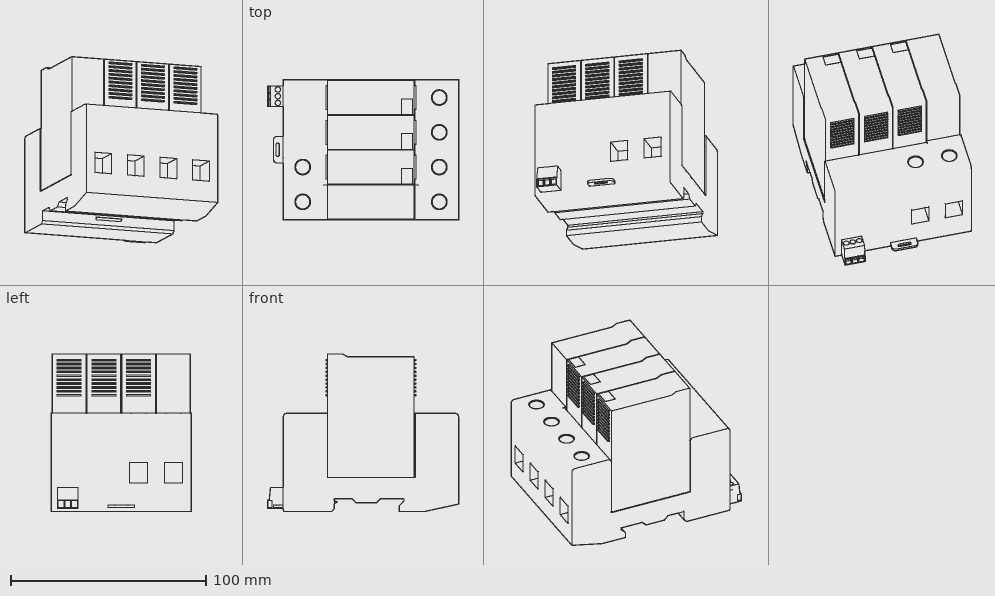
import cadquery as cq


base_length = 90.0
base_width = 72.0
base_height = 50.4
overall_height = 80.9
connector_reach = 7.9

module_count = 4
ribbed_modules = 3
module_pitch = 17.8
module_gap = 0.4

base_top_fillet = 1.9
base_foot_fillet = 0.9
ramp_length = 17.3
ramp_height = 3.8
rail_left = 26.25
rail_foot_chamfer = 1.5
rail_depth = 6.6
rail_pad_start = 35.3
rail_pad_end = 50.0
rail_pad_depth = 2.2
rail_hook_lip = 59.5
rail_hook_end = 61.9
rail_hook_lip_height = 2.9
rail_hook_wall = 1.1

bay_left = 22.6
bay_right = 67.6
bay_floor = 17.5
bay_edge_radius = 1.9

module_right = bay_right - module_gap
module_step_drop = 1.5
module_step_start = 30.4
module_step_end = 33.0
step_crest_radius = 0.6
step_root_radius = 1.4
module_edge_radius = 0.3
row_width = module_count * module_pitch
button_length = 5.7
button_width = 8.0
button_inset = 1.0
button_recess = 0.1

rib_count = 10
rib_span = 18.0
rib_root_height = 0.9
rib_tip_height = 0.6
rib_reach = 0.8
rib_width = 12.2
top_rib_height = 77.7

left_terminals = 2
right_terminals = 4
screw_inset = 10.0
screw_radius = 3.6
screw_rim = 0.4
screw_depth = 11.8
entry_width = 9.1
entry_height = 10.6
entry_bottom = 14.6
entry_depth = 13.7

connector_width = 10.7
connector_y = 27.4
connector_bottom = 1.5
connector_top = 12.4
connector_step_height = 5.9
connector_step_x = -7.2
connector_top_x = -6.6
connector_pitch = 3.4
connector_poles = 3
pole_radius = 1.4
pole_x = -2.7
pole_depth = 2.9
socket_width = 2.9
socket_height = 3.5
socket_bottom = 2.1
socket_depth = 2.1

latch_width = 13.7
latch_reach = 5.1
latch_bottom = 2.1
latch_thickness = 1.3
latch_corner_radius = 2.0
latch_root = 1.0
latch_slot_length = 6.9
latch_slot_width = 1.6
latch_slot_x = -2.8
latch_nose_top = 5.5
latch_nose_tip = 5.0
latch_nose_bottom = 4.0
latch_nose_reach = 1.6


def box_between(x_range, y_range, z_range):
    """Axis-aligned box from three (low, high) pairs."""
    lows, highs = zip(x_range, y_range, z_range)
    sizes = [high - low for low, high in zip(lows, highs)]
    return cq.Workplane("XY").box(*sizes, centered=False).translate(lows)


def extrude_along_y(points, y_range):
    """Prism of an XZ outline between two Y positions."""
    low, high = y_range
    return cq.Workplane("XZ", origin=(0, high, 0)).polyline(points).close().extrude(high - low)


def centred_range(centre, width):
    return (centre - width / 2, centre + width / 2)


def module_y(index):
    """Y of the middle of a module, counted from the +Y side."""
    return row_width / 2 - (index + 0.5) * module_pitch


def edge_along_y(x, z):
    """Selector for the straight Y edges that pass through (x, z)."""
    reach = 0.05
    return cq.selectors.BoxSelector(
        (x - reach, -base_width, z - reach), (x + reach, base_width, z + reach), boundingbox=False
    )


def make_base():
    rail_pad_bottom = rail_depth - rail_pad_depth
    outline = [
        (0, 0),
        (rail_left - rail_foot_chamfer, 0),
        (rail_left, rail_foot_chamfer),
        (rail_left, rail_depth),
        (rail_pad_start, rail_depth),
        (rail_pad_start + rail_pad_depth, rail_pad_bottom),
        (rail_pad_end - rail_pad_depth, rail_pad_bottom),
        (rail_pad_end, rail_depth),
        (rail_hook_end, rail_depth),
        (rail_hook_end, rail_depth - rail_hook_wall),
        (rail_hook_lip, rail_hook_lip_height),
        (rail_hook_lip, 0),
        (base_length - ramp_length, 0),
        (base_length, ramp_height),
        (base_length, base_height),
        (0, base_height),
    ]
    base = extrude_along_y(outline, centred_range(0, base_width))
    base = base.edges(edge_along_y(0, base_height)).fillet(base_top_fillet)
    base = base.edges(edge_along_y(base_length, base_height)).fillet(base_top_fillet)
    return base.edges(edge_along_y(0, 0)).fillet(base_foot_fillet)


def make_bay():
    """Volume of the module bay; its mouth is rounded beside the plug-in modules."""
    bay = box_between((bay_left, bay_right), (-base_width, base_width), (bay_floor, overall_height))
    mouth_end = module_y(ribbed_modules) + module_pitch / 2 - module_gap / 2
    mouth = box_between(
        (bay_left - bay_edge_radius, bay_right + bay_edge_radius),
        (mouth_end, base_width),
        (base_height - bay_edge_radius, base_height),
    )
    for x in (bay_left - bay_edge_radius, bay_right + bay_edge_radius):
        rounding = (
            cq.Workplane("XZ", origin=(x, base_width, base_height - bay_edge_radius))
            .circle(bay_edge_radius)
            .extrude(base_width - mouth_end)
        )
        mouth = mouth.cut(rounding)
    return bay.union(mouth)


def make_module(index):
    low_top = overall_height - module_step_drop
    outline = [
        (bay_left, bay_floor),
        (module_right, bay_floor),
        (module_right, low_top),
        (module_step_end, low_top),
        (module_step_start, overall_height),
        (bay_left, overall_height),
    ]
    module = extrude_along_y(outline, centred_range(module_y(index), module_pitch - module_gap))
    module = module.edges(edge_along_y(module_step_end, low_top)).fillet(step_root_radius)
    module = module.edges(edge_along_y(module_step_start, overall_height)).fillet(step_crest_radius)
    return module.edges(edge_along_y(bay_left, overall_height)).fillet(module_edge_radius)


def add_ribs(module, index):
    """Tapered ribs on both end faces; each pair is one bar through the module."""
    for row in range(rib_count):
        z = top_rib_height - row * rib_span / (rib_count - 1)
        outline = [
            (bay_left - rib_reach, z - rib_tip_height / 2),
            (bay_left, z - rib_root_height / 2),
            (module_right, z - rib_root_height / 2),
            (module_right + rib_reach, z - rib_tip_height / 2),
            (module_right + rib_reach, z + rib_tip_height / 2),
            (module_right, z + rib_root_height / 2),
            (bay_left, z + rib_root_height / 2),
            (bay_left - rib_reach, z + rib_tip_height / 2),
        ]
        rib = extrude_along_y(outline, centred_range(module_y(index), rib_width))
        module = module.union(rib)
    return module


def recess_button(module, index):
    low_top = overall_height - module_step_drop
    button_end = module_right - button_inset
    button_side = module_y(index) - module_pitch / 2
    button = box_between(
        (button_end - button_length, button_end),
        (button_side, button_side + module_gap / 2 + button_width),
        (low_top - button_recess, low_top),
    )
    return module.cut(button)


def cut_terminal(body, index, at_right):
    """Countersunk screw hole from the top and a wire entry in the end face."""
    y = module_y(index)
    screw_x = base_length - screw_inset if at_right else screw_inset
    entry_x = (base_length - entry_depth, base_length) if at_right else (0, entry_depth)
    top = cq.Workplane("XY", origin=(screw_x, y, base_height))
    hole = top.circle(screw_radius).extrude(-screw_depth)
    rim_radius = screw_radius + screw_rim
    rim = top.circle(rim_radius).workplane(offset=-screw_rim).circle(screw_radius).loft(ruled=True)
    entry = box_between(
        entry_x, centred_range(y, entry_width), (entry_bottom, entry_bottom + entry_height)
    )
    return body.cut(hole).cut(rim).cut(entry)


def make_connector():
    outline = [
        (0, connector_bottom),
        (-connector_reach, connector_bottom),
        (-connector_reach, connector_step_height),
        (connector_step_x, connector_step_height),
        (connector_top_x, connector_top),
        (0, connector_top),
    ]
    connector = extrude_along_y(outline, centred_range(connector_y, connector_width))
    for pole in range(connector_poles):
        y = connector_y + (pole - (connector_poles - 1) / 2) * connector_pitch
        screw = (
            cq.Workplane("XY", origin=(pole_x, y, connector_top)).circle(pole_radius).extrude(-pole_depth)
        )
        socket = box_between(
            (-connector_reach, socket_depth - connector_reach),
            centred_range(y, socket_width),
            (socket_bottom, socket_bottom + socket_height),
        )
        connector = connector.cut(screw).cut(socket)
    return connector


def make_latch():
    """Slotted pull tab at the end face and the latch nose inside the rail slot."""
    y_range = centred_range(0, latch_width)
    tab = box_between(
        (-latch_reach, latch_root), y_range, (latch_bottom, latch_bottom + latch_thickness)
    )
    tab = tab.edges("|Z and <X").fillet(latch_corner_radius)
    slot = (
        cq.Workplane("XY", origin=(latch_slot_x, 0, latch_bottom))
        .slot2D(latch_slot_length, latch_slot_width, 90)
        .extrude(latch_thickness)
    )
    nose_outline = [
        (rail_left, latch_nose_top),
        (rail_left + latch_nose_reach, latch_nose_tip),
        (rail_left, latch_nose_bottom),
    ]
    return tab.cut(slot), extrude_along_y(nose_outline, y_range)


result = make_base().cut(make_bay())

for terminal in range(left_terminals):
    result = cut_terminal(result, module_count - 1 - terminal, at_right=False)
for terminal in range(right_terminals):
    result = cut_terminal(result, module_count - 1 - terminal, at_right=True)

for position in range(module_count):
    plug = make_module(position)
    if position < ribbed_modules:
        plug = recess_button(add_ribs(plug, position), position)
    result = result.union(plug)

latch_tab, latch_nose = make_latch()
result = result.union(make_connector()).union(latch_tab).union(latch_nose)